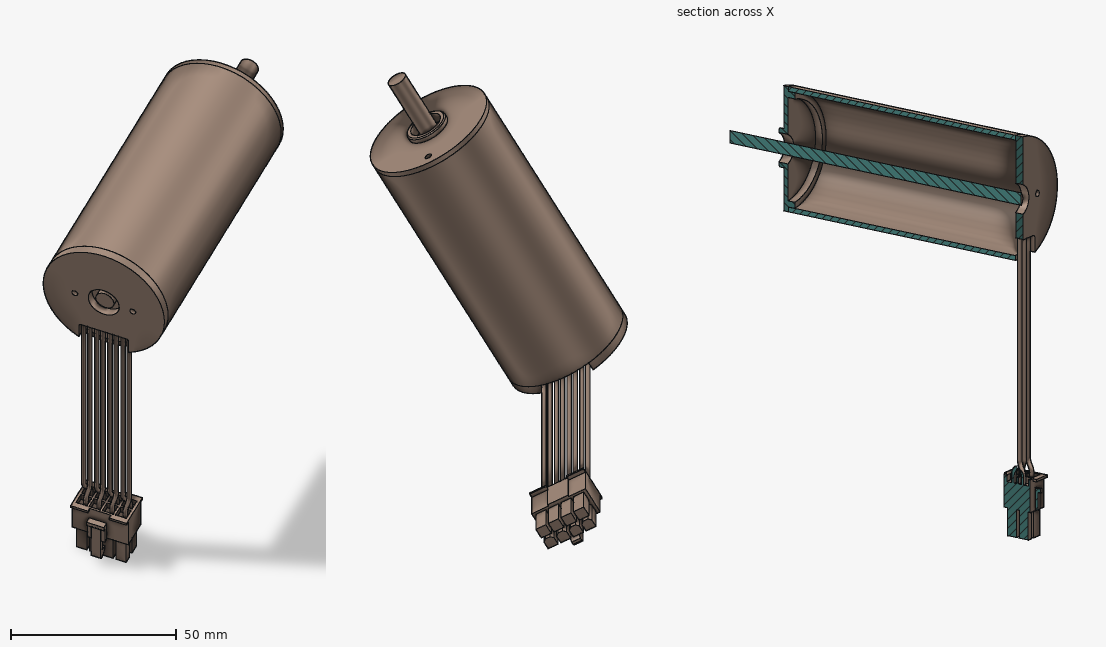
import cadquery as cq


motor_radius = 20.0
wall_inner_radius = 18.3
cap_thickness = 2.8
flange_thickness = 1.7
motor_length = 88.5
bore_radius = 5.1

boss_radius = 6.6
boss_height = 1.8
boss_chamfer = 0.4
spigot_inner_radius = 16.4
spigot_length = 2.5
mount_hole_diameter = 2.2
mount_hole_offset = 16.0

shaft_diameter = 6.0
shaft_tip_y = 108.4
shaft_end_recess = 0.8

small_hole_diameter = 1.9
small_hole_offset = 9.5
notch_top_z = -12.7
notch_corner_radius = 0.9

columns = 4
pitch = 4.3
wire_pair_spacing = 2.0
wire_diameter = 1.4
cable_y = 2.0
straight_end_z = -82.8
entry_row_spacing = 3.6
entry_x_shift = 0.5

total_height = 127.4
connector_bottom_z = motor_radius - total_height
connector_top_z = -88.2
block_bottom_z = -98.6
block_width = 18.5
block_depth = 9.3
lip_overhang = 1.3
lip_thickness = 0.8
lip_gap = 7.0
rear_pad_thickness = 0.5
pocket_size = 3.6
pocket_depth = 2.0
leg_size = 3.5
leg_chamfer = 0.9

latch_outer_y = -6.4
latch_inner_y = -4.3
latch_plate_y = -5.6
latch_stem_y = -6.0
latch_width = 5.7
stem_width = 3.0
bracket_width = 4.3
latch_top_z = -90.3
latch_head_height = 1.4
bracket_top_z = -95.9
bracket_bottom_z = -97.3
hook_top_z = -102.2
hook_side_height = 1.3
stem_bottom_z = -105.2
stem_tip_chamfer = 0.8

flange_rear_y = motor_length - flange_thickness
notch_width = (columns - 1) * pitch + wire_pair_spacing + wire_diameter
block_front_y = cable_y - block_depth / 2
block_rear_y = cable_y + block_depth / 2
pocket_floor_z = connector_top_z - pocket_depth
column_xs = [(i - (columns - 1) / 2) * pitch for i in range(columns)]
front_row_y = cable_y - pitch / 2
rear_row_y = cable_y + pitch / 2
front_entry_y = cable_y - entry_row_spacing / 2
rear_entry_y = cable_y + entry_row_spacing / 2


def disc(radius, y_start, y_end, x=0.0, z=0.0):
    """Cylinder along Y between two Y positions."""
    base = cq.Workplane("XZ", origin=(x, y_start, z)).circle(radius)
    return base.extrude(-(y_end - y_start))


def box(x_size, y_start, y_end, z_start, z_end, x=0.0):
    """Box centred on x, given by its Y and Z limits."""
    return cq.Workplane("XY").box(x_size, y_end - y_start, z_end - z_start).translate(
        (x, (y_start + y_end) / 2, (z_start + z_end) / 2)
    )


def make_can():
    tube = disc(motor_radius, cap_thickness, flange_rear_y)
    return tube.cut(disc(wall_inner_radius, cap_thickness, flange_rear_y))


def make_front_flange():
    boss_front_y = motor_length + boss_height
    spigot_rear_y = flange_rear_y - spigot_length
    flange = disc(motor_radius, flange_rear_y, motor_length)
    boss = disc(boss_radius, flange_rear_y, boss_front_y)
    boss = boss.faces(">Y").edges().chamfer(boss_chamfer)
    flange = flange.union(boss)
    spigot = disc(wall_inner_radius, spigot_rear_y, flange_rear_y)
    spigot = spigot.cut(disc(spigot_inner_radius, spigot_rear_y, flange_rear_y))
    flange = flange.union(spigot)
    flange = flange.cut(disc(bore_radius, flange_rear_y, boss_front_y))
    mount_hole = disc(mount_hole_diameter / 2, spigot_rear_y, motor_length, z=-mount_hole_offset)
    return flange.cut(mount_hole)


def make_rear_cap():
    cap = disc(motor_radius, 0, cap_thickness)
    cap = cap.cut(disc(bore_radius, 0, cap_thickness))
    for x in (-small_hole_offset, small_hole_offset):
        cap = cap.cut(disc(small_hole_diameter / 2, 0, cap_thickness, x=x))
    notch = box(notch_width, 0, cap_thickness, -motor_radius, notch_top_z)
    notch = notch.edges("|Y and >Z").fillet(notch_corner_radius)
    return cap.cut(notch)


def make_shaft():
    return disc(shaft_diameter / 2, shaft_end_recess, shaft_tip_y)


def make_connector_block():
    block = box(block_width, block_front_y, block_rear_y, block_bottom_z, connector_top_z)
    lip_bottom_z = connector_top_z - lip_thickness
    lip_front_y = block_front_y - lip_overhang
    lip_rear_y = block_rear_y + lip_overhang
    lips = box(block_width, lip_front_y, lip_rear_y, lip_bottom_z, connector_top_z)
    for y_start in (lip_front_y, block_rear_y):
        gap = box(lip_gap, y_start, y_start + lip_overhang, lip_bottom_z, connector_top_z)
        lips = lips.cut(gap)
    pad = box(lip_gap, block_rear_y, block_rear_y + rear_pad_thickness, block_bottom_z, connector_top_z)
    return block.union(lips).union(pad)


def make_leg(x, row_y):
    """Leg under one contact; those of the front row have bevelled inner edges."""
    half = leg_size / 2
    leg = box(leg_size, row_y - half, row_y + half, connector_bottom_z, block_bottom_z, x=x)
    if row_y == front_row_y:
        leg = leg.edges("|Z and >Y").chamfer(leg_chamfer)
    return leg


def make_pocket(x, row_y):
    half = pocket_size / 2
    return box(pocket_size, row_y - half, row_y + half, pocket_floor_z, connector_top_z, x=x)


def make_latch():
    head_bottom_z = latch_top_z - latch_head_height
    head = box(latch_width, latch_outer_y, latch_inner_y, head_bottom_z, latch_top_z)
    plate = box(latch_width, latch_plate_y, latch_inner_y, bracket_bottom_z, latch_top_z)
    bracket = box(bracket_width, latch_inner_y, block_front_y, bracket_bottom_z, bracket_top_z)
    stem = (
        cq.Workplane("YZ", origin=(-stem_width / 2, 0, 0))
        .moveTo(latch_inner_y, latch_top_z)
        .lineTo(latch_inner_y, hook_top_z)
        .lineTo(block_front_y, hook_top_z)
        .lineTo(block_front_y, hook_top_z - hook_side_height)
        .lineTo(latch_inner_y, stem_bottom_z)
        .lineTo(latch_stem_y + stem_tip_chamfer, stem_bottom_z)
        .lineTo(latch_stem_y, stem_bottom_z + stem_tip_chamfer)
        .lineTo(latch_stem_y, latch_top_z)
        .close()
        .extrude(stem_width)
    )
    return head.union(plate).union(bracket).union(stem)


def make_wire(x, entry_x, entry_y):
    """Straight wire from the cap notch, then an S-bend into its pocket, ending on the pocket floor."""
    cap_end = cq.Vector(x, cable_y, notch_top_z)
    bend_start = cq.Vector(x, cable_y, straight_end_z)
    bend_end = cq.Vector(entry_x, entry_y, connector_top_z)
    floor_end = cq.Vector(entry_x, entry_y, pocket_floor_z)
    downwards = cq.Vector(0, 0, -1)
    straight = cq.Edge.makeLine(cap_end, bend_start)
    bend = cq.Edge.makeSpline([bend_start, bend_end], tangents=[downwards, downwards])
    entry = cq.Edge.makeLine(bend_end, floor_end)
    path = cq.Wire.assembleEdges([straight, bend, entry])
    profile = cq.Workplane("XY", origin=(x, cable_y, notch_top_z)).circle(wire_diameter / 2)
    return profile.sweep(cq.Workplane(path))


def make_harness():
    harness = make_connector_block().union(make_latch())
    rows = [(rear_row_y, rear_entry_y, -1), (front_row_y, front_entry_y, 1)]
    for column_x in column_xs:
        for row_y, entry_y, side in rows:
            wire_x = column_x + side * wire_pair_spacing / 2
            harness = harness.union(make_leg(column_x, row_y))
            harness = harness.cut(make_pocket(column_x, row_y))
            harness = harness.union(make_wire(wire_x, column_x + entry_x_shift, entry_y))
    return harness


can = make_can()
front_flange = make_front_flange()
rear_cap = make_rear_cap()
shaft = make_shaft()
harness = make_harness().cut(rear_cap)

bodies = [can, front_flange, rear_cap, shaft, harness]
result = cq.Compound.makeCompound([solid for body in bodies for solid in body.solids().vals()])